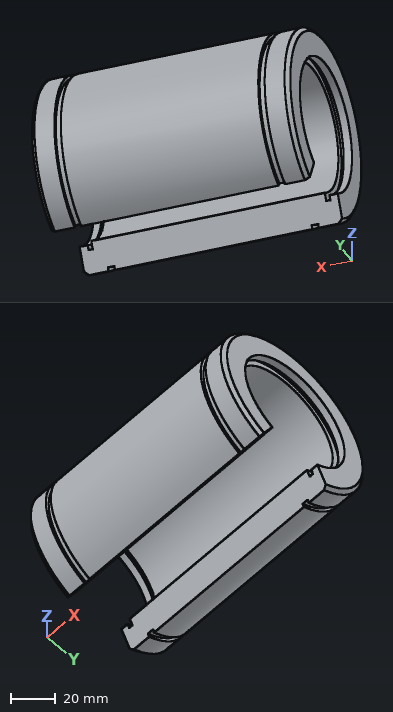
import cadquery as cq
import math

length = 125.0
outer_radius = 45.0
bore_radius = 30.0
end_chamfer = 2.0

groove_offset = 11.6
groove_width = 3.1
groove_radius = 43.2

counterbore_radius = 31.5
counterbore_depth = 6.0

inner_groove_radius = 33.8
inner_groove_width = 2.0

opening_angle = 54.0


def cylinder(radius, start, depth):
    """Cylinder along +X beginning at x = start."""
    return cq.Workplane("YZ", origin=(start, 0, 0)).circle(radius).extrude(depth)


def opening_wedge():
    """Wedge with its apex on the axis, reaching beyond the outer wall below."""
    reach = 2 * outer_radius
    half_width = reach * math.tan(math.radians(opening_angle / 2))
    return (
        cq.Workplane("YZ", origin=(-length / 2, 0, 0))
        .polyline([(0, 0), (half_width, -reach), (-half_width, -reach)])
        .close()
        .extrude(length)
    )


body = cylinder(outer_radius, -length / 2, length).faces("<X or >X").chamfer(end_chamfer)
body = body.cut(cylinder(bore_radius, -length / 2, length))

groove_start = length / 2 - groove_offset - groove_width
for start in (groove_start, -groove_start - groove_width):
    ring = cylinder(outer_radius, start, groove_width).cut(cylinder(groove_radius, start, groove_width))
    body = body.cut(ring)

counterbore_wall = length / 2 - counterbore_depth
for start in (-length / 2, counterbore_wall):
    body = body.cut(cylinder(counterbore_radius, start, counterbore_depth))
for start in (-counterbore_wall - inner_groove_width, counterbore_wall):
    body = body.cut(cylinder(inner_groove_radius, start, inner_groove_width))

result = body.cut(opening_wedge())